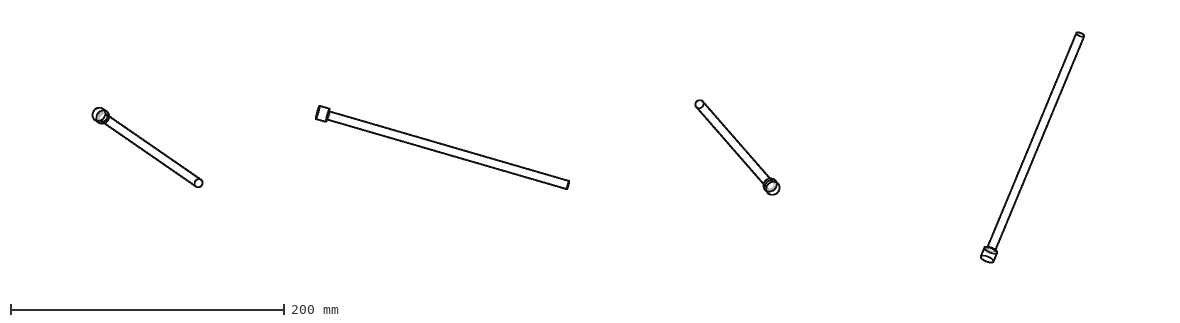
import cadquery as cq

total_length = 191.8
head_length = 7.7
head_radius = 10.2 / 2
shank_radius = 6.3 / 2
neck_fillet = 0.8

profile = (
    cq.Workplane("XY")
    .lineTo(0, -head_radius)
    .lineTo(head_length, -head_radius)
    .lineTo(head_length, -shank_radius - neck_fillet)
    .radiusArc((head_length + neck_fillet, -shank_radius), neck_fillet)
    .lineTo(total_length, -shank_radius)
    .lineTo(total_length, 0)
    .close()
)

result = profile.revolve(360, (0, 0, 0), (1, 0, 0))